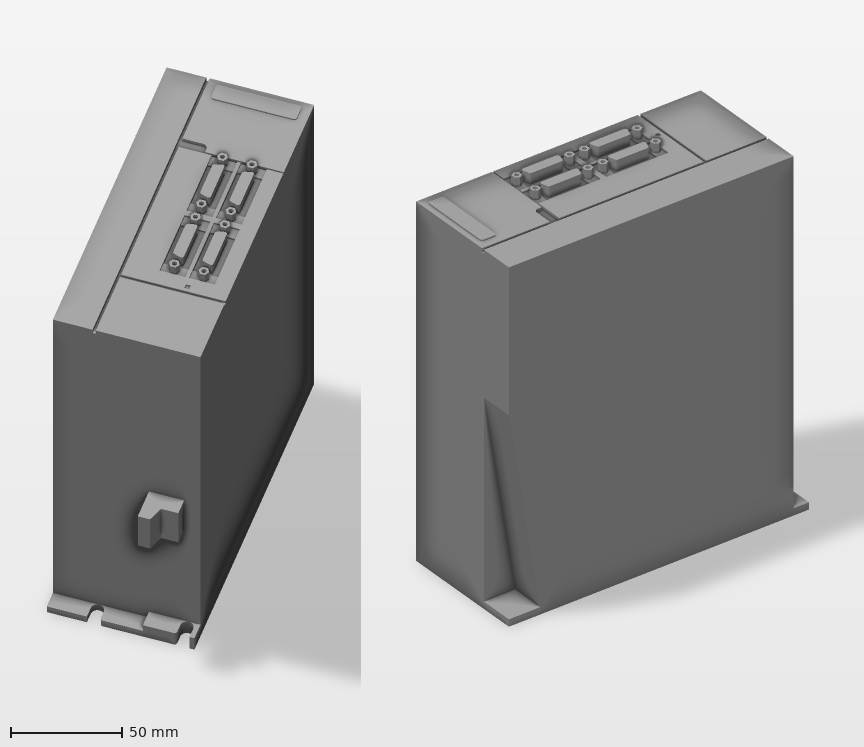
import cadquery as cq

WIDTH = 70.0
OVERALL_DEPTH = 175.0
OVERALL_HEIGHT = 194.0
LATCH_REACH = 15.7
HOUSING_DEPTH = OVERALL_DEPTH - LATCH_REACH
CONNECTOR_RISE = 4.0
HOUSING_TOP = OVERALL_HEIGHT - CONNECTOR_RISE

PLATE_THICKNESS = 3.9
FOOT_REACH = 8.5
THICK_FOOT_LEFT = 45.5
THICK_FOOT_HEIGHT = 7.8
SLOT_WIDTH = 6.2
SLOT_CENTRES = (22.1, 64.6)
FOOT_CORNER_RADIUS = 1.4

SLOPE_TOP = 111.7
SLOPE_INSET = 17.5

LATCH_LEFT = 45.5
LATCH_WIDTH = 16.7
LATCH_BOTTOM = 69.8
LATCH_HEIGHT = 19.8
LATCH_TIP_WIDTH = 5.8
LATCH_SLOPE_WIDTH = 2.7
LATCH_SHOULDER_REACH = 8.1

GROOVE_DEPTH = 2.1
GROOVE_WIDTH = 1.5
TERMINAL_GROOVE_DEPTH = 1.4
GROOVE_LEFT = 18.8
TERMINAL_GROOVE_Y = 33.8
COVER_GROOVE_Y = 116.0
COVER_GROOVE_WIDTH = 0.8
NOTCH_RIGHT = 32.5
NOTCH_LENGTH = 5.2
NOTCH_CORNER_RADIUS = 2.3

LABEL_LEFT = 24.8
LABEL_WIDTH = 40.5
LABEL_LENGTH = 8.5
LABEL_BACK_MARGIN = 3.1
LABEL_RISE = 0.8
LABEL_CORNER_RADIUS = 1.4

POCKET_WIDTH = 12.2
POCKET_LENGTH = 35.0
POCKET_DEPTH = 2.0
POCKET_CENTRES_X = (42.1, 56.0)
POCKET_CENTRES_Y = (60.7, 98.5)
EAR_LENGTH = 5.5
EAR_DEPTH = 1.0
SHELL_WIDTH = 5.5
SHELL_LONG_SIDE = 21.7
SHELL_SHORT_SIDE = 18.2
SHELL_CORNER_RADIUS = 1.2
STANDOFF_ACROSS_CORNERS = 5.0
STANDOFF_HOLE = 2.3

WINDOW_SIZE = 2.3
WINDOW_DEPTH = 1.0
WINDOW_CENTRE = (51.0, 38.0)


def block(x, y, z, width, length, height):
    """Box given by its lower left front corner and its sizes along X, Y and Z."""
    return cq.Workplane("XY").box(width, length, height, centered=False).translate((x, y, z))


def housing():
    """Box whose left part, up to the long groove, slopes inwards at the lower back."""
    height = HOUSING_TOP - PLATE_THICKNESS
    box = block(0, 0, PLATE_THICKNESS, WIDTH, HOUSING_DEPTH, height)
    wedge_outline = [
        (HOUSING_DEPTH, PLATE_THICKNESS),
        (HOUSING_DEPTH - SLOPE_INSET, PLATE_THICKNESS),
        (HOUSING_DEPTH, SLOPE_TOP),
    ]
    wedge = cq.Workplane("YZ").polyline(wedge_outline).close().extrude(GROOVE_LEFT)
    return box.cut(wedge)


def base_plate():
    """Plate whose front feet are parted by two slots with round ends touching the housing front."""
    plate = block(0, -FOOT_REACH, 0, WIDTH, HOUSING_DEPTH + FOOT_REACH, PLATE_THICKNESS)
    thick_foot = block(
        THICK_FOOT_LEFT, -FOOT_REACH, 0, WIDTH - THICK_FOOT_LEFT, FOOT_REACH, THICK_FOOT_HEIGHT
    )
    plate = plate.union(thick_foot)
    radius = SLOT_WIDTH / 2
    for x in SLOT_CENTRES:
        slot = (
            cq.Workplane("XY")
            .moveTo(x - radius, -FOOT_REACH)
            .lineTo(x - radius, -radius)
            .threePointArc((x, 0), (x + radius, -radius))
            .lineTo(x + radius, -FOOT_REACH)
            .close()
            .extrude(THICK_FOOT_HEIGHT)
        )
        plate = plate.cut(slot)
    middle_foot_corners = (SLOT_CENTRES[0] + radius, SLOT_CENTRES[1] - radius)
    for x in middle_foot_corners:
        corner = cq.selectors.NearestToPointSelector((x, -FOOT_REACH, PLATE_THICKNESS / 2))
        plate = plate.edges("|Z").edges(corner).fillet(FOOT_CORNER_RADIUS)
    return plate


def latch():
    tip_right = LATCH_LEFT + LATCH_TIP_WIDTH
    outline = [
        (LATCH_LEFT, 0),
        (LATCH_LEFT, -LATCH_REACH),
        (tip_right, -LATCH_REACH),
        (tip_right + LATCH_SLOPE_WIDTH, -LATCH_SHOULDER_REACH),
        (LATCH_LEFT + LATCH_WIDTH, -LATCH_SHOULDER_REACH),
        (LATCH_LEFT + LATCH_WIDTH, 0),
    ]
    return cq.Workplane("XY", origin=(0, 0, LATCH_BOTTOM)).polyline(outline).close().extrude(LATCH_HEIGHT)


def top_grooves():
    floor = HOUSING_TOP - GROOVE_DEPTH
    side_length = WIDTH - GROOVE_LEFT
    main = block(GROOVE_LEFT, 0, floor, GROOVE_WIDTH, HOUSING_DEPTH, GROOVE_DEPTH)
    terminal_floor = HOUSING_TOP - TERMINAL_GROOVE_DEPTH
    terminal = block(
        GROOVE_LEFT, TERMINAL_GROOVE_Y, terminal_floor, side_length, GROOVE_WIDTH, TERMINAL_GROOVE_DEPTH
    )
    cover = block(GROOVE_LEFT, COVER_GROOVE_Y, floor, side_length, COVER_GROOVE_WIDTH, GROOVE_DEPTH)
    notch = block(
        GROOVE_LEFT, COVER_GROOVE_Y, floor, NOTCH_RIGHT - GROOVE_LEFT, NOTCH_LENGTH, GROOVE_DEPTH
    )
    notch = notch.edges("|Z and >X and >Y").fillet(NOTCH_CORNER_RADIUS)
    return main.union(terminal).union(cover).union(notch)


def label():
    back = HOUSING_DEPTH - LABEL_BACK_MARGIN
    plate = block(LABEL_LEFT, back - LABEL_LENGTH, HOUSING_TOP, LABEL_WIDTH, LABEL_LENGTH, LABEL_RISE)
    return plate.edges("|Z").fillet(LABEL_CORNER_RADIUS)


def connector_pocket(x, y):
    left = x - POCKET_WIDTH / 2
    front = y - POCKET_LENGTH / 2
    return block(left, front, HOUSING_TOP - POCKET_DEPTH, POCKET_WIDTH, POCKET_LENGTH, POCKET_DEPTH)


def connector(x, y):
    """Shell, two end ears and two hollow hexagonal standoffs, standing on the pocket floor."""
    floor = HOUSING_TOP - POCKET_DEPTH
    height = OVERALL_HEIGHT - floor
    parts = (
        cq.Workplane("XY", origin=(x, y, floor))
        .polyline([
            (-SHELL_WIDTH / 2, -SHELL_SHORT_SIDE / 2),
            (SHELL_WIDTH / 2, -SHELL_LONG_SIDE / 2),
            (SHELL_WIDTH / 2, SHELL_LONG_SIDE / 2),
            (-SHELL_WIDTH / 2, SHELL_SHORT_SIDE / 2),
        ])
        .close()
        .extrude(height)
        .edges("|Z")
        .fillet(SHELL_CORNER_RADIUS)
    )
    ear_offset = (POCKET_LENGTH - EAR_LENGTH) / 2
    ear_height = POCKET_DEPTH - EAR_DEPTH
    for ear_y in (y - ear_offset, y + ear_offset):
        ear = block(
            x - POCKET_WIDTH / 2, ear_y - EAR_LENGTH / 2, floor, POCKET_WIDTH, EAR_LENGTH, ear_height
        )
        standoff = (
            cq.Workplane("XY", origin=(x, ear_y, floor))
            .polygon(6, STANDOFF_ACROSS_CORNERS)
            .circle(STANDOFF_HOLE / 2)
            .extrude(height)
        )
        parts = parts.union(ear).union(standoff)
    return parts


def indicator_window():
    x, y = WINDOW_CENTRE
    half = WINDOW_SIZE / 2
    return block(x - half, y - half, HOUSING_TOP - WINDOW_DEPTH, WINDOW_SIZE, WINDOW_SIZE, WINDOW_DEPTH)


result = housing().union(base_plate()).union(latch())
result = result.cut(top_grooves()).cut(indicator_window()).union(label())
for pocket_x in POCKET_CENTRES_X:
    for pocket_y in POCKET_CENTRES_Y:
        result = result.cut(connector_pocket(pocket_x, pocket_y))
        result = result.union(connector(pocket_x, pocket_y))